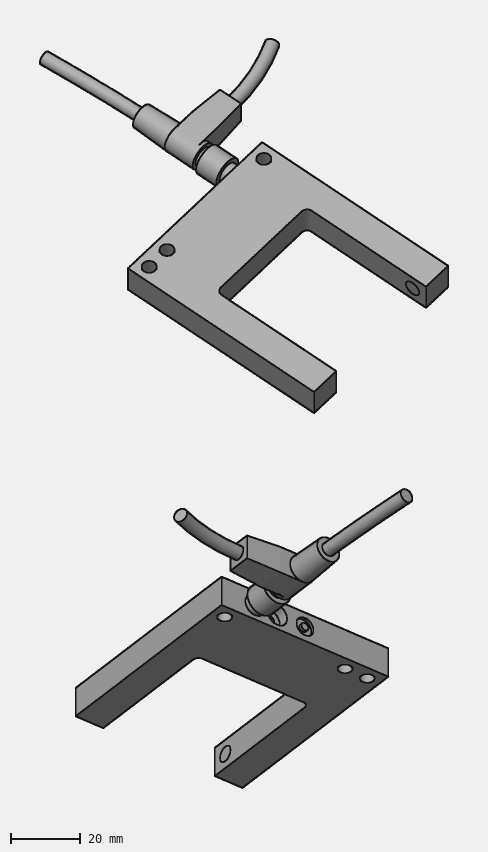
import cadquery as cq
import math

HOUSING_LENGTH = 70.0
HOUSING_WIDTH = 60.0
THICKNESS = 10.0
ARM_LENGTH = 45.0
ARM_WIDTH = 10.0
SLOT_CORNER_RADIUS = 2.0
MID_Z = THICKNESS / 2

MOUNT_DIAMETER = 4.3
MOUNT_INSET = 4.3
MOUNT_SPACING = 8.0
MOUNT_POINTS = [
    (MOUNT_INSET, HOUSING_WIDTH - MOUNT_INSET),
    (MOUNT_INSET, MOUNT_INSET),
    (MOUNT_INSET, MOUNT_INSET + MOUNT_SPACING),
]

CONNECTOR_INSET = 12.0
ADJUSTER_INSET = 20.0
CONTROL_PITCH = 10.0
CONNECTOR_Y = HOUSING_WIDTH - CONNECTOR_INSET
ADJUSTER_Y = HOUSING_WIDTH - ADJUSTER_INSET
ADJUSTER_DIAMETER = 7.0
ADJUSTER_DEPTH = 3.5
ADJUSTER_BORE_DIAMETER = 3.0
ADJUSTER_BORE_DEPTH = 1.4
INDICATOR_Y = ADJUSTER_Y - CONTROL_PITCH
INDICATOR_DIAMETER = 6.0
INDICATOR_DEPTH = 1.0
INDICATOR_PIN_DIAMETER = 2.5

LENS_DIAMETER = 5.0
LENS_DEPTH = LENS_DIAMETER / 2
LENS_INSET = 5.0
LENS_X = HOUSING_LENGTH - LENS_INSET

STUB_DIAMETER = 7.0
NUT_DIAMETER = 10.0
NECK_DIAMETER = 6.5
PLUG_DIAMETER = 9.0
PLUG_END_DIAMETER = 8.0
NUT_FRONT = 3.0
NUT_REAR = 10.5
PLUG_FRONT = 12.2
CONE_FRONT = 21.9
ELBOW_REAR = 22.7
PLUG_REAR = 35.0

ELBOW_WIDTH = 9.3
ELBOW_STRAIGHT = 8.0
ELBOW_LENGTH = 19.5
ELBOW_X = -ELBOW_REAR + ELBOW_WIDTH / 2

CABLE_DIAMETER = 4.3
OVERALL_LENGTH = 140.2
REAR_CABLE_DROP = 1.8
REAR_CABLE_START_ANGLE = 1.7
SIDE_CABLE_RISE = 24.8
SIDE_CABLE_DRIFT = 5.2


def make_housing():
    slot_width = HOUSING_WIDTH - 2 * ARM_WIDTH
    slot_floor_x = HOUSING_LENGTH - ARM_LENGTH
    body = cq.Workplane("XY").box(HOUSING_LENGTH, HOUSING_WIDTH, THICKNESS, centered=False)
    slot = (
        cq.Workplane("XY")
        .box(ARM_LENGTH, slot_width, THICKNESS, centered=False)
        .edges("|Z and <X")
        .fillet(SLOT_CORNER_RADIUS)
        .translate((slot_floor_x, ARM_WIDTH, 0))
    )
    mounting_holes = (
        cq.Workplane("XY").pushPoints(MOUNT_POINTS).circle(MOUNT_DIAMETER / 2).extrude(THICKNESS)
    )
    return body.cut(slot).cut(mounting_holes)


def rear_cylinder(y, diameter, x_start, x_end):
    """Cylinder along X at mid thickness."""
    return (
        cq.Workplane("YZ", origin=(x_start, y, MID_Z)).circle(diameter / 2).extrude(x_end - x_start)
    )


def cut_controls(housing):
    adjuster = rear_cylinder(ADJUSTER_Y, ADJUSTER_DIAMETER, 0, ADJUSTER_DEPTH)
    bore_end = ADJUSTER_DEPTH + ADJUSTER_BORE_DEPTH
    adjuster_bore = rear_cylinder(ADJUSTER_Y, ADJUSTER_BORE_DIAMETER, ADJUSTER_DEPTH, bore_end)
    indicator = rear_cylinder(INDICATOR_Y, INDICATOR_DIAMETER, 0, INDICATOR_DEPTH)
    indicator_pin = rear_cylinder(INDICATOR_Y, INDICATOR_PIN_DIAMETER, 0, INDICATOR_DEPTH)
    return housing.cut(adjuster).cut(adjuster_bore).cut(indicator.cut(indicator_pin))


def make_lens(y_start):
    """Flush lens whose lower Y face is at y_start."""
    return (
        cq.Workplane("XZ", origin=(LENS_X, y_start, MID_Z))
        .circle(LENS_DIAMETER / 2)
        .extrude(-LENS_DEPTH)
    )


def make_plug():
    """Turned nut, neck and plug, revolved about the connector axis."""
    profile = [
        (0, 0),
        (0, STUB_DIAMETER / 2),
        (-NUT_FRONT, STUB_DIAMETER / 2),
        (-NUT_FRONT, NUT_DIAMETER / 2),
        (-NUT_REAR, NUT_DIAMETER / 2),
        (-NUT_REAR, NECK_DIAMETER / 2),
        (-PLUG_FRONT, NECK_DIAMETER / 2),
        (-PLUG_FRONT, PLUG_DIAMETER / 2),
        (-CONE_FRONT, PLUG_DIAMETER / 2),
        (-PLUG_REAR, PLUG_END_DIAMETER / 2),
        (-PLUG_REAR, 0),
    ]
    turned = (
        cq.Workplane("XY", origin=(0, CONNECTOR_Y, MID_Z))
        .polyline(profile)
        .close()
        .revolve(360, (0, 0, 0), (1, 0, 0))
    )
    elbow_barrel = rear_cylinder(CONNECTOR_Y, PLUG_DIAMETER, -ELBOW_REAR, -PLUG_FRONT)
    return turned.union(elbow_barrel)


def make_elbow():
    """Block that leaves the plug along +Y and tapers to a square end."""
    straight = (
        cq.Workplane("XZ", origin=(ELBOW_X, CONNECTOR_Y, MID_Z))
        .rect(ELBOW_WIDTH, PLUG_DIAMETER)
        .extrude(-ELBOW_STRAIGHT)
    )
    taper = (
        cq.Workplane("XZ", origin=(ELBOW_X, CONNECTOR_Y + ELBOW_STRAIGHT, MID_Z))
        .rect(ELBOW_WIDTH, PLUG_DIAMETER)
        .workplane(offset=ELBOW_STRAIGHT - ELBOW_LENGTH)
        .rect(PLUG_END_DIAMETER, PLUG_END_DIAMETER)
        .loft(ruled=True)
    )
    return straight.union(taper)


def make_cable(plane, start, end, direction):
    """Cable swept along the arc that leaves start in the given direction and reaches end."""
    path = cq.Edge.makeTangentArc(
        cq.Vector(*start, MID_Z), cq.Vector(*direction, 0), cq.Vector(*end, MID_Z)
    )
    return (
        cq.Workplane(plane, origin=(*start, MID_Z))
        .circle(CABLE_DIAMETER / 2)
        .sweep(cq.Workplane(path))
    )


def make_rear_cable():
    start_angle = math.radians(REAR_CABLE_START_ANGLE)
    reach = OVERALL_LENGTH - HOUSING_LENGTH - PLUG_REAR
    end_tilt = 2 * (math.atan2(REAR_CABLE_DROP, reach) - start_angle)
    end_overhang = CABLE_DIAMETER / 2 * math.sin(end_tilt)
    return make_cable(
        "YZ",
        (-PLUG_REAR, CONNECTOR_Y),
        (-PLUG_REAR - reach + end_overhang, CONNECTOR_Y - REAR_CABLE_DROP),
        (-math.cos(start_angle), -math.sin(start_angle)),
    )


def make_side_cable():
    start_y = CONNECTOR_Y + ELBOW_LENGTH
    return make_cable(
        "XZ",
        (ELBOW_X, start_y),
        (ELBOW_X - SIDE_CABLE_DRIFT, start_y + SIDE_CABLE_RISE),
        (0, 1),
    )


def make_connector():
    return make_plug().union(make_elbow()).union(make_rear_cable()).union(make_side_cable())


lenses = [make_lens(y) for y in (ARM_WIDTH - LENS_DEPTH, HOUSING_WIDTH - ARM_WIDTH)]
housing = cut_controls(make_housing())
for lens in lenses:
    housing = housing.cut(lens)
connector = make_connector()

result = cq.Compound.makeCompound(
    [housing.val(), connector.val(), *[lens.val() for lens in lenses]]
)